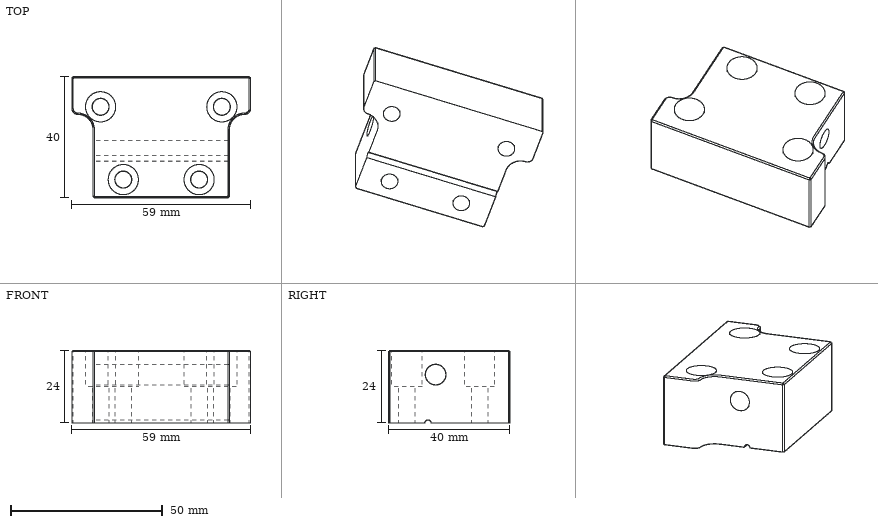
import cadquery as cq

head_width = 59.0
stem_width = 45.0
depth = 40.0
height = 24.0
edge_chamfer = 0.5

ear_radius = 2.0
shoulder_radius = (head_width - stem_width) / 2 - ear_radius
ear_depth = 12.5

bolt_diameter = 5.5
bore_diameter = 10.0
bore_depth = height / 2
back_hole_spacing = 40.0
back_hole_y = depth - 10.0
front_hole_spacing = 25.0
front_hole_y = 6.0

cross_hole_diameter = 6.7
cross_hole_y = 15.5
cross_hole_z = 16.0
groove_radius = 1.0
groove_y = 13.0


def make_body():
    """Extrude the plan outline, then break its sharp corners and top edges."""
    half_head = head_width / 2
    half_stem = stem_width / 2
    shoulder_y = depth - ear_depth
    fillet_start_y = shoulder_y - shoulder_radius
    ear_x = half_head - ear_radius
    ear_y = shoulder_y + ear_radius
    diagonal = 0.5 ** 0.5
    ear_mid = (ear_x + ear_radius * diagonal, ear_y - ear_radius * diagonal)
    fillet_mid = (
        ear_x - shoulder_radius * diagonal,
        fillet_start_y + shoulder_radius * diagonal,
    )

    body = (
        cq.Workplane("XY")
        .moveTo(-half_stem, 0)
        .lineTo(half_stem, 0)
        .lineTo(half_stem, fillet_start_y)
        .threePointArc(fillet_mid, (ear_x, shoulder_y))
        .threePointArc(ear_mid, (half_head, ear_y))
        .lineTo(half_head, depth)
        .lineTo(-half_head, depth)
        .lineTo(-half_head, ear_y)
        .threePointArc((-ear_mid[0], ear_mid[1]), (-ear_x, shoulder_y))
        .threePointArc((-fillet_mid[0], fillet_mid[1]), (-half_stem, fillet_start_y))
        .close()
        .extrude(height)
    )
    body = body.faces("<Y or >Y").edges("|Z").chamfer(edge_chamfer)
    return body.faces(">Z").edges().chamfer(edge_chamfer)


def drill_bolt_row(body, spacing, row_y):
    """Drill a symmetric pair of holes counterbored from the top face."""
    return (
        body.faces(">Z")
        .workplane(origin=(0, 0, height))
        .pushPoints([(side * spacing / 2, row_y) for side in (-1, 1)])
        .cboreHole(bolt_diameter, bore_diameter, bore_depth)
    )


def make_cross_bar(radius, y, z):
    """Make a cylinder along X spanning the full width."""
    return (
        cq.Workplane("YZ", origin=(-head_width / 2, y, z))
        .circle(radius)
        .extrude(head_width)
    )


result = make_body()
result = drill_bolt_row(result, back_hole_spacing, back_hole_y)
result = drill_bolt_row(result, front_hole_spacing, front_hole_y)
result = result.cut(make_cross_bar(cross_hole_diameter / 2, cross_hole_y, cross_hole_z))
result = result.cut(make_cross_bar(groove_radius, groove_y, 0))